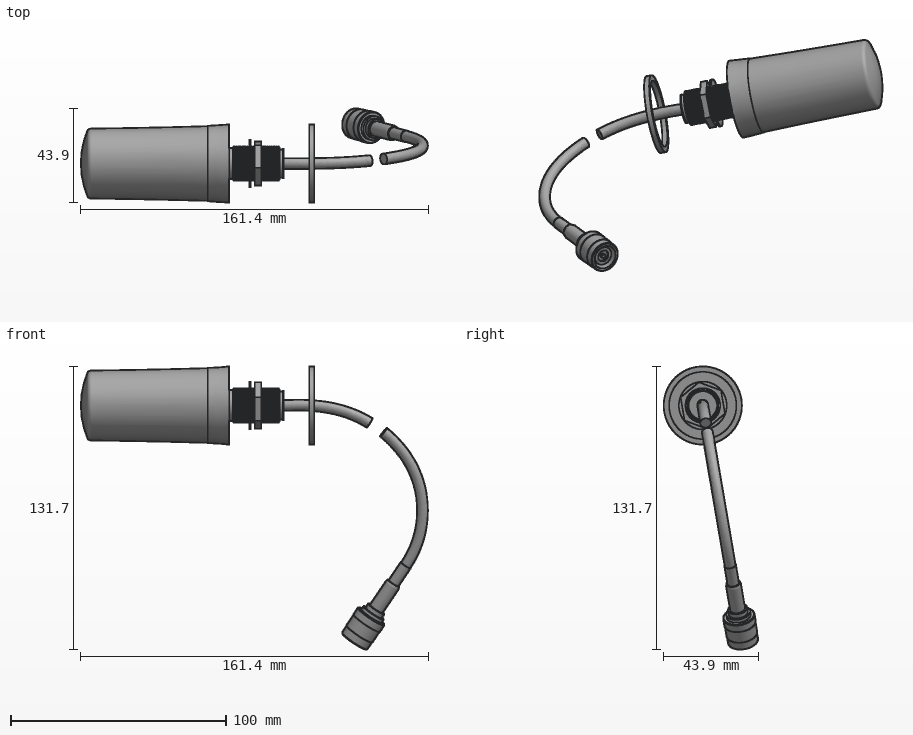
import cadquery as cq
import math

TILT = 9.7

DOME_DEPTH = 3.5
DOME_EDGE_RADIUS = 16.3
DOME_FILLET = 2.0
RADOME_MIDDLE = 33.9
RADOME_MIDDLE_RADIUS = 16.8
RADOME_END = 59.0
RADOME_END_RADIUS = 17.5

BASE_FRONT_RADIUS = 17.6
BASE_END = 68.9
BASE_RADIUS = 18.2
NECK_RADIUS = 7.3
THREAD_START = 70.7
THREAD_PITCH = 1.03
THREAD_COUNT = 21
THREAD_RADIUS = 8.0
THREAD_ROOT_RADIUS = 7.3
CREST_WIDTH = 0.2
STUD_END = 94.2
STUD_TIP_RADIUS = 6.6
STUD_LIP_RADIUS = 6.8
STUD_LIP_LENGTH = 0.5

WASHER_START = 78.3
WASHER_THICKNESS = 0.8
WASHER_RADIUS = 11.1
NUT_START = 80.8
NUT_THICKNESS = 3.0
NUT_CORNER_RADIUS = 11.0

GASKET_START = 106.2
GASKET_THICKNESS = 2.5
GASKET_INNER_RADIUS = 15.7

CABLE_RADIUS = 2.6
UPPER_CABLE_BENDS = [(100.0, 0.2), (106.5, 0.0), (120.7, -2.3)]
UPPER_CABLE_END = (134.3, -8.2)
UPPER_CABLE_END_ANGLE = -33.0
LOWER_CABLE_START = (140.7, -12.6)
LOWER_CABLE_START_ANGLE = -40.0
LOWER_CABLE_APEX = (158.8, -49.4)

CONNECTOR_END = (127.2, -111.2)
CONNECTOR_ANGLE = 33.6
COUPLING_RIM_LENGTH = 4.2
COUPLING_RIM_RADIUS = 7.1
COUPLING_GRIP_END = 10.3
COUPLING_GRIP_RADIUS = 7.3
COUPLING_LENGTH = 14.4
COUPLING_SHOULDER_RADIUS = 7.5
COUPLING_CHAMFER = 0.3
COUPLING_BORE_RADIUS = 5.6
PIN_START = 1.3
PIN_RADIUS = 1.0
BARREL_START = 1.6
BARREL_RADIUS = 4.4
BARREL_BORE_RADIUS = 2.7
BARREL_BORE_FLOOR = 2.6
SOCKET_FLOOR = 8.9
COLLAR_END = 16.1
STEP_END = 18.4
STEP_RADIUS = 4.5
FERRULE_END = 32.9
FERRULE_RADIUS = 3.5
FERRULE_CHAMFER_LENGTH = 1.3
FERRULE_TIP_RADIUS = 3.2
SLEEVE_END = 43.1
SLEEVE_RADIUS = 2.7


def turned_on_x(outline):
    """Revolve a closed (X, radius) outline about the X axis."""
    return outline.close().revolve(360, (0, 0, 0), (1, 0, 0))


def ring_on_x(start, thickness, outer_radius, inner_radius):
    """Flat ring centred on the X axis."""
    face = cq.Workplane("YZ", origin=(start, 0, 0))
    return face.circle(outer_radius).circle(inner_radius).extrude(thickness)


def tilted(body):
    """Turn a body from the XZ plane into the plane of the cable."""
    return body.rotate((0, 0, 0), (1, 0, 0), TILT)


def radome():
    """Tapered cover with a domed nose and a flared mouth."""
    dome_middle_radius = DOME_EDGE_RADIUS / 2
    sphere_radius = (DOME_EDGE_RADIUS**2 + DOME_DEPTH**2) / (2 * DOME_DEPTH)
    dome_middle_depth = sphere_radius - math.sqrt(sphere_radius**2 - dome_middle_radius**2)
    outline = (
        cq.Workplane("XY")
        .threePointArc((dome_middle_depth, dome_middle_radius), (DOME_DEPTH, DOME_EDGE_RADIUS))
        .threePointArc((RADOME_MIDDLE, RADOME_MIDDLE_RADIUS), (RADOME_END, RADOME_END_RADIUS))
        .lineTo(RADOME_END, 0)
    )
    nose_edge = cq.selectors.NearestToPointSelector((DOME_DEPTH, 0, 0))
    return turned_on_x(outline).edges(nose_edge).fillet(DOME_FILLET)


def base():
    """Flared flange carrying a solid stud with ring-shaped thread ridges."""
    thread_end = THREAD_START + THREAD_COUNT * THREAD_PITCH
    outline = (
        cq.Workplane("XY")
        .moveTo(RADOME_END, 0)
        .lineTo(RADOME_END, BASE_FRONT_RADIUS)
        .lineTo(BASE_END, BASE_RADIUS)
        .lineTo(BASE_END, NECK_RADIUS)
        .lineTo(THREAD_START, NECK_RADIUS)
    )
    for ridge in range(THREAD_COUNT):
        crest = THREAD_START + (ridge + 0.5) * THREAD_PITCH
        outline = (
            outline.lineTo(crest - CREST_WIDTH / 2, THREAD_RADIUS)
            .lineTo(crest + CREST_WIDTH / 2, THREAD_RADIUS)
            .lineTo(THREAD_START + (ridge + 1) * THREAD_PITCH, THREAD_ROOT_RADIUS)
        )
    outline = (
        outline.lineTo(thread_end, STUD_TIP_RADIUS)
        .lineTo(STUD_END - STUD_LIP_LENGTH, STUD_TIP_RADIUS)
        .lineTo(STUD_END - STUD_LIP_LENGTH, STUD_LIP_RADIUS)
        .lineTo(STUD_END, STUD_LIP_RADIUS)
        .lineTo(STUD_END, 0)
    )
    return turned_on_x(outline)


def washer():
    return ring_on_x(WASHER_START, WASHER_THICKNESS, WASHER_RADIUS, THREAD_RADIUS)


def nut():
    """Hexagon nut with one pair of corners in the plane of the cable."""
    face = cq.Workplane("YZ", origin=(NUT_START, 0, 0))
    hexagon = face.transformed(rotate=(0, 0, 90)).polygon(6, 2 * NUT_CORNER_RADIUS)
    return tilted(hexagon.circle(THREAD_RADIUS).extrude(NUT_THICKNESS))


def gasket():
    return ring_on_x(GASKET_START, GASKET_THICKNESS, BASE_RADIUS, GASKET_INNER_RADIUS)


def heading(angle):
    """Unit vector in the XZ plane at an angle in degrees above +X."""
    return (math.cos(math.radians(angle)), math.sin(math.radians(angle)))


def connector_point(distance):
    """Point on the connector axis at a distance from the open end."""
    run, rise = heading(90 - CONNECTOR_ANGLE)
    return (CONNECTOR_END[0] + distance * run, CONNECTOR_END[1] + distance * rise)


def swept_cable(path, start, direction):
    """Sweep the round cable section along a path that leaves start in a direction."""
    section = cq.Plane(
        origin=(start[0], 0, start[1]),
        xDir=(0, 1, 0),
        normal=(direction[0], 0, direction[1]),
    )
    return tilted(cq.Workplane(section).circle(CABLE_RADIUS).sweep(path))


def upper_cable():
    """Cable leaving the stud straight and then drooping."""
    start = (STUD_END, 0)
    direction = heading(0)
    path = cq.Workplane("XZ").spline(
        [start, *UPPER_CABLE_BENDS, UPPER_CABLE_END],
        tangents=[direction, heading(UPPER_CABLE_END_ANGLE)],
    )
    return swept_cable(path, start, direction)


def lower_cable():
    """Cable curving round and down to the sleeve of the connector."""
    direction = heading(LOWER_CABLE_START_ANGLE)
    path = cq.Workplane("XZ").spline(
        [LOWER_CABLE_START, LOWER_CABLE_APEX, connector_point(SLEEVE_END)],
        tangents=[direction, heading(270 - CONNECTOR_ANGLE)],
    )
    return swept_cable(path, LOWER_CABLE_START, direction)


def turned_on_connector_axis(outline):
    """Revolve a closed (radius, distance from open end) outline about the connector axis."""
    across = heading(-CONNECTOR_ANGLE)
    plane = cq.Plane(
        origin=(CONNECTOR_END[0], 0, CONNECTOR_END[1]),
        xDir=(across[0], 0, across[1]),
        normal=(0, -1, 0),
    )
    profile = cq.Workplane(plane).polyline(outline).close()
    return tilted(profile.revolve(360, (0, 0, 0), (0, 1, 0)))


def coupling_nut():
    """Stepped sleeve around the mating end of the connector."""
    return turned_on_connector_axis([
        (COUPLING_BORE_RADIUS, 0),
        (COUPLING_RIM_RADIUS - COUPLING_CHAMFER, 0),
        (COUPLING_RIM_RADIUS, COUPLING_CHAMFER),
        (COUPLING_RIM_RADIUS, COUPLING_RIM_LENGTH),
        (COUPLING_GRIP_RADIUS, COUPLING_RIM_LENGTH),
        (COUPLING_GRIP_RADIUS, COUPLING_GRIP_END),
        (COUPLING_SHOULDER_RADIUS, COUPLING_GRIP_END),
        (COUPLING_SHOULDER_RADIUS, COUPLING_LENGTH - COUPLING_CHAMFER),
        (COUPLING_SHOULDER_RADIUS - COUPLING_CHAMFER, COUPLING_LENGTH),
        (COUPLING_BORE_RADIUS, COUPLING_LENGTH),
    ])


def connector_body():
    """Centre pin, barrel, collar, ferrule and cable sleeve, turned in one piece."""
    return turned_on_connector_axis([
        (0, PIN_START),
        (PIN_RADIUS, PIN_START),
        (PIN_RADIUS, BARREL_BORE_FLOOR),
        (BARREL_BORE_RADIUS, BARREL_BORE_FLOOR),
        (BARREL_BORE_RADIUS, BARREL_START),
        (BARREL_RADIUS, BARREL_START),
        (BARREL_RADIUS, SOCKET_FLOOR),
        (COUPLING_BORE_RADIUS, SOCKET_FLOOR),
        (COUPLING_BORE_RADIUS, COLLAR_END),
        (STEP_RADIUS, COLLAR_END),
        (STEP_RADIUS, STEP_END),
        (FERRULE_RADIUS, STEP_END),
        (FERRULE_RADIUS, FERRULE_END - FERRULE_CHAMFER_LENGTH),
        (FERRULE_TIP_RADIUS, FERRULE_END),
        (SLEEVE_RADIUS, FERRULE_END),
        (SLEEVE_RADIUS, SLEEVE_END),
        (0, SLEEVE_END),
    ])


bodies = [
    radome(),
    base(),
    washer(),
    nut(),
    gasket(),
    upper_cable(),
    lower_cable(),
    connector_body(),
    coupling_nut(),
]
result = cq.Compound.makeCompound([body.val() for body in bodies])